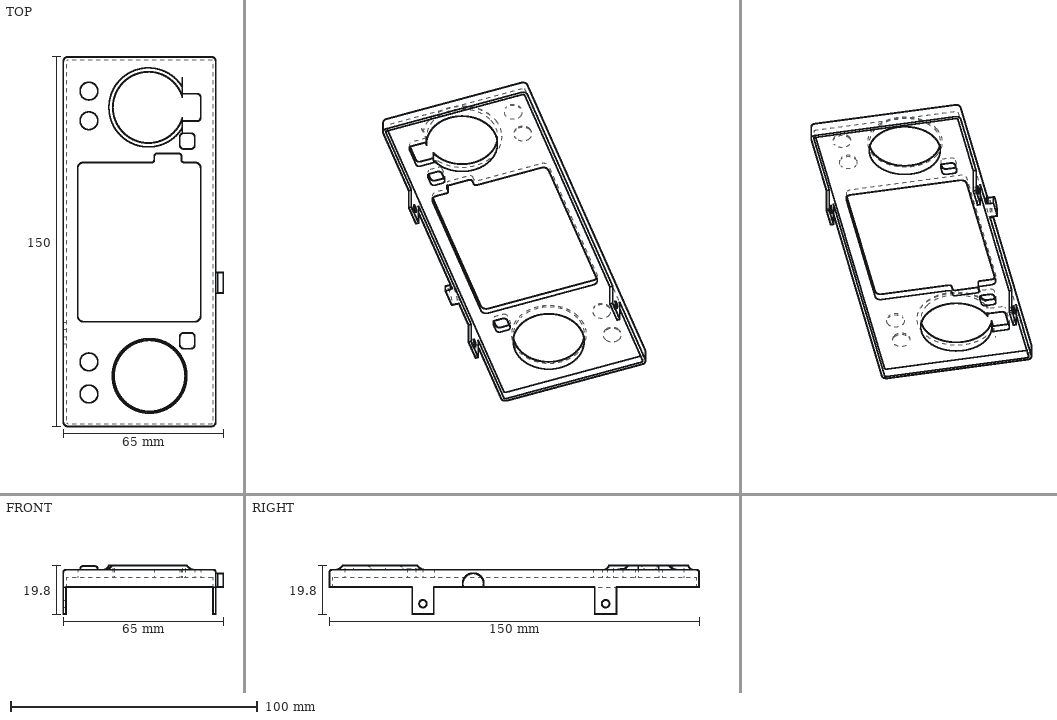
import cadquery as cq
import math

BODY_WIDTH = 62.0
BODY_LENGTH = 150.0
BODY_HEIGHT = 7.0
CORNER_RADIUS = 2.0
TOP_EDGE_RADIUS = 1.0
WALL = 1.2
TOP_THICKNESS = 3.0

RING_HEIGHT = 1.8
RING_OUTER_RADIUS = 18.3
RING_HOLE_RADIUS = 14.4
UPPER_RING_CENTER = (3.6, 54.5)
UPPER_RING_RIM_RADIUS = 16.0
LOWER_RING_CENTER = (4.0, -54.5)
LOWER_RING_RIM_RADIUS = 15.2
UPPER_RING_FLAT_X = 17.4

WINDOW_LEFT = -25.0
WINDOW_RIGHT = 24.8
WINDOW_BOTTOM = -32.4
WINDOW_TOP = 32.1
WINDOW_CORNER_RADIUS = 2.3
NOTCH_LEFT = 6.0
NOTCH_RIGHT = 17.0
NOTCH_TOP = 35.7
NOTCH_RADIUS = 1.0

SLOT_RIGHT = WINDOW_RIGHT
SLOT_WIDTH = 11.0
SLOT_CORNER_RADIUS = 1.4

PORT_WIDTH = 6.0
PORT_LENGTH = 6.3
PORT_CORNER_RADIUS = 1.5
PORT_X = 19.4
PORT_YS = (40.8, -40.2)

BUTTON_RADIUS = 3.6
BUTTON_HEIGHT = 1.5
BUTTON_EDGE_RADIUS = 1.2
BUTTON_X = -20.5
BUTTON_YS = (61.0, 49.0, -48.8, -61.8)

LEG_LENGTH = 11.0
LEG_WIDTH = 8.9
LEG_Y = 37.0
LEG_HOLE_RADIUS = 1.5
LEG_HOLE_DROP = 6.8

KNOB_RADIUS = 4.2
KNOB_PROTRUSION = 3.0
KNOB_Y = -16.7
KNOB_Z = 1.4
COLLAR_RADIUS = 4.4
COLLAR_PROTRUSION = 0.8

CUT_DEPTH = BODY_HEIGHT + RING_HEIGHT


def box_between(x_min, x_max, y_min, y_max, z_min, z_max):
    size = (x_max - x_min, y_max - y_min, z_max - z_min)
    return cq.Workplane("XY").box(*size, centered=False).translate((x_min, y_min, z_min))


def make_body():
    outer = cq.Workplane("XY").rect(BODY_WIDTH, BODY_LENGTH).extrude(BODY_HEIGHT)
    outer = outer.edges("|Z").fillet(CORNER_RADIUS)
    outer = outer.faces(">Z").edges().fillet(TOP_EDGE_RADIUS)
    cavity = (
        cq.Workplane("XY")
        .rect(BODY_WIDTH - 2 * WALL, BODY_LENGTH - 2 * WALL)
        .extrude(BODY_HEIGHT - TOP_THICKNESS)
        .edges("|Z")
        .fillet(CORNER_RADIUS - WALL)
    )
    return outer.cut(cavity)


def make_ring(center, rim_radius):
    """Solid disc reaching down through the top, whose concave flank meets the top face tangentially."""
    flank_width = RING_OUTER_RADIUS - rim_radius
    flank_radius = (flank_width**2 + RING_HEIGHT**2) / (2 * RING_HEIGHT)
    half_sweep = math.asin(flank_width / flank_radius) / 2
    middle = (
        RING_OUTER_RADIUS - flank_radius * math.sin(half_sweep),
        BODY_HEIGHT + flank_radius * (1 - math.cos(half_sweep)),
    )
    base = BODY_HEIGHT - TOP_THICKNESS
    profile = (
        cq.Workplane("XZ")
        .moveTo(0, base)
        .lineTo(RING_OUTER_RADIUS, base)
        .lineTo(RING_OUTER_RADIUS, BODY_HEIGHT)
        .threePointArc(middle, (rim_radius, BODY_HEIGHT + RING_HEIGHT))
        .lineTo(0, BODY_HEIGHT + RING_HEIGHT)
        .close()
    )
    return profile.revolve(360, (0, 0, 0), (0, 1, 0)).translate((*center, 0))


def make_upper_ring():
    ring = make_ring(UPPER_RING_CENTER, UPPER_RING_RIM_RADIUS)
    y = UPPER_RING_CENTER[1]
    beyond_flat = box_between(
        UPPER_RING_FLAT_X,
        BODY_WIDTH,
        y - RING_OUTER_RADIUS,
        y + RING_OUTER_RADIUS,
        0,
        CUT_DEPTH,
    )
    return ring.cut(beyond_flat)


def make_ring_hole(center):
    return cq.Workplane("XY").center(*center).circle(RING_HOLE_RADIUS).extrude(CUT_DEPTH)


def make_window():
    opening = box_between(WINDOW_LEFT, WINDOW_RIGHT, WINDOW_BOTTOM, WINDOW_TOP, 0, CUT_DEPTH)
    opening = opening.edges("|Z").fillet(WINDOW_CORNER_RADIUS)
    middle_y = (WINDOW_BOTTOM + WINDOW_TOP) / 2
    notch = box_between(NOTCH_LEFT, NOTCH_RIGHT, middle_y, NOTCH_TOP, 0, CUT_DEPTH)
    notch = notch.edges("|Z and >Y").fillet(NOTCH_RADIUS)
    opening = opening.union(notch)
    root_edges = cq.selectors.BoxSelector(
        (NOTCH_LEFT - NOTCH_RADIUS / 2, WINDOW_TOP - NOTCH_RADIUS / 2, 0),
        (NOTCH_RIGHT + NOTCH_RADIUS / 2, WINDOW_TOP + NOTCH_RADIUS / 2, CUT_DEPTH),
    )
    return opening.edges("|Z").edges(root_edges).fillet(NOTCH_RADIUS)


def make_slot():
    y = UPPER_RING_CENTER[1]
    slot = box_between(
        UPPER_RING_FLAT_X, SLOT_RIGHT, y - SLOT_WIDTH / 2, y + SLOT_WIDTH / 2, 0, CUT_DEPTH
    )
    return slot.edges("|Z and >X").fillet(SLOT_CORNER_RADIUS)


def make_port(y):
    port = cq.Workplane("XY").center(PORT_X, y).rect(PORT_WIDTH, PORT_LENGTH).extrude(CUT_DEPTH)
    return port.edges("|Z").fillet(PORT_CORNER_RADIUS)


def make_button(y):
    button = cq.Workplane("XY", origin=(BUTTON_X, y, BODY_HEIGHT)).circle(BUTTON_RADIUS)
    return button.extrude(BUTTON_HEIGHT).faces(">Z").edges().fillet(BUTTON_EDGE_RADIUS)


def make_leg(side, y):
    """Drilled tab continuing a side wall downwards; side is -1 for left, +1 for right."""
    x = side * (BODY_WIDTH - WALL) / 2
    height = LEG_LENGTH + BODY_HEIGHT / 2
    leg = cq.Workplane("XY", origin=(x, y, -LEG_LENGTH)).rect(WALL, LEG_WIDTH).extrude(height)
    hole = (
        cq.Workplane("YZ", origin=(x, y, -LEG_HOLE_DROP))
        .circle(LEG_HOLE_RADIUS)
        .extrude(WALL, both=True)
    )
    return leg.cut(hole)


def make_knob():
    wall_face = BODY_WIDTH / 2
    start = cq.Workplane("YZ", origin=(wall_face - WALL, KNOB_Y, KNOB_Z))
    knob = start.circle(KNOB_RADIUS).extrude(WALL + KNOB_PROTRUSION)
    collar = start.circle(COLLAR_RADIUS).extrude(WALL + COLLAR_PROTRUSION)
    above_bottom = box_between(0, BODY_WIDTH, -BODY_LENGTH / 2, BODY_LENGTH / 2, 0, BODY_HEIGHT)
    return knob.union(collar).intersect(above_bottom)


result = make_body()
result = result.union(make_upper_ring())
result = result.union(make_ring(LOWER_RING_CENTER, LOWER_RING_RIM_RADIUS))

for ring_center in (UPPER_RING_CENTER, LOWER_RING_CENTER):
    result = result.cut(make_ring_hole(ring_center))
result = result.cut(make_window()).cut(make_slot())
for port_y in PORT_YS:
    result = result.cut(make_port(port_y))

for button_y in BUTTON_YS:
    result = result.union(make_button(button_y))
for leg_side, leg_y in ((-1, -LEG_Y), (1, -LEG_Y), (1, LEG_Y)):
    result = result.union(make_leg(leg_side, leg_y))
result = result.union(make_knob())